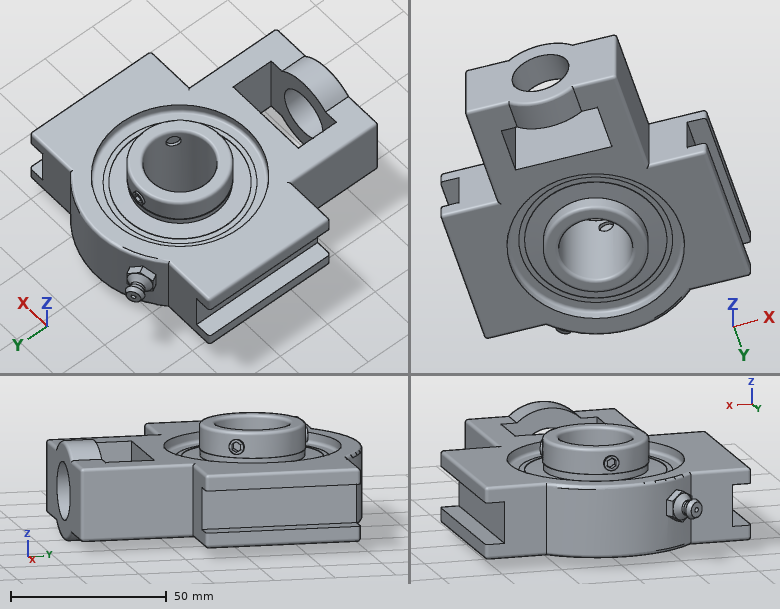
import cadquery as cq
import math


edge_radius = 1.1
housing_width = 89.0
housing_thickness = 24.0
plate_half_length = 25.5
rear_arc_radius = 35.2
tongue_width = 50.7
tongue_front_y = -62.2
boss_radius = 16.1
screw_hole_diameter = 19.0
window_width = 32.2
window_back_y = -36.1
window_front_y = -52.1
groove_depth = 6.3
groove_height = 13.8
recess_diameter = 56.9

outer_ring_width = 16.9
outer_ring_face_diameter = 49.4
seal_diameter = 45.7
seal_thickness = 1.5
seal_step = 0.2
seal_rise = 0.2
inner_ring_diameter = 33.7
collar_diameter = 34.2
collar_base_z = 11.2
inner_ring_top_z = 19.7
inner_ring_bottom_z = -14.4
shaft_bore_diameter = 23.8

set_screw_diameter = 4.9
set_screw_z = 14.9
set_screw_inner_radius = 12.8
set_screw_outer_radius = 17.7
set_screw_socket_flats = 3.0
set_screw_socket_depth = 2.0
set_screw_angles = (90, -30)

nipple_angle = 120
nipple_z = 3.0
thread_diameter = 6.0
thread_start = 30.5
hex_flats = 9.0
hex_base = 35.5
hex_top = 38.2
cone_diameter = 8.8
cone_top_diameter = 5.9
cone_top = 39.7
neck_diameter = 4.9
neck_base = 40.3
neck_top = 41.1
head_diameter = 6.6
head_widest = 42.8
tip_diameter = 5.1
tip_end = 44.5
grease_hole_diameter = 1.5
grease_hole_depth = 3.1


def block(width, y_start, y_end, height):
    """Box centred on X = 0 and Z = 0, running along Y from y_start to y_end."""
    return cq.Workplane("XY").box(width, y_end - y_start, height).translate((0, (y_start + y_end) / 2, 0))


def rod(plane, diameter, start, end):
    """Cylinder along the plane's normal between two distances from the plane."""
    return cq.Workplane(plane).workplane(offset=start).circle(diameter / 2).extrude(end - start)


def hexagon(plane, flats, start, end):
    """Hexagonal prism along the plane's normal, with two corners pointing along Z."""
    across_corners = 2 * flats / math.sqrt(3)
    return (
        cq.Workplane(plane)
        .workplane(offset=start)
        .transformed(rotate=(0, 0, 90))
        .polygon(6, across_corners)
        .extrude(end - start)
    )


def radial_plane(angle, z):
    """Plane through the bearing axis at height z, its normal pointing outward at the given angle."""
    direction = math.radians(angle)
    tangent = (-math.sin(direction), math.cos(direction), 0)
    outward = (math.cos(direction), math.sin(direction), 0)
    return cq.Plane(origin=(0, 0, z), xDir=tangent, normal=outward)


def revolved(points):
    """Solid of revolution about the bearing axis from a closed (radius, z) outline."""
    return cq.Workplane("XZ").polyline(points).close().revolve(360, (0, 0, 0), (0, 1, 0))


def make_housing():
    plate = block(housing_width, -plate_half_length, plate_half_length, housing_thickness)
    plate = plate.edges().fillet(edge_radius)
    tongue = block(tongue_width, tongue_front_y, 0, housing_thickness)
    tongue = tongue.edges("|Y or <Y").fillet(edge_radius)
    rear = rod(cq.Plane.XY(), 2 * rear_arc_radius, -housing_thickness / 2, housing_thickness / 2)
    rear = rear.edges().fillet(edge_radius)
    front_plane = cq.Plane(origin=(0, tongue_front_y, 0), xDir=(1, 0, 0), normal=(0, 1, 0))
    boss_length = window_front_y - tongue_front_y
    boss = rod(front_plane, 2 * boss_radius, 0, boss_length).faces("<Y").edges().fillet(edge_radius)
    body = plate.union(tongue).union(rear).union(boss)

    groove_x = (housing_width - groove_depth) / 2
    for x in (-groove_x, groove_x):
        groove = cq.Workplane("XY").box(groove_depth, 2 * plate_half_length, groove_height)
        body = body.cut(groove.translate((x, 0, 0)))

    window = block(window_width, window_front_y, window_back_y, 2 * boss_radius)
    screw_hole = rod(front_plane, screw_hole_diameter, 0, boss_length)
    nipple_hole = rod(radial_plane(nipple_angle, nipple_z), thread_diameter, thread_start, hex_base)
    body = body.cut(window).cut(screw_hole).cut(nipple_hole)

    body = body.cut(outer_ring_ball())
    recess_depth = (housing_thickness - outer_ring_width) / 2
    top_face = cq.Plane.XY(origin=(0, 0, housing_thickness / 2))
    recess = rod(top_face, recess_diameter, -recess_depth, 0).faces("<Z").edges().fillet(edge_radius)
    return body.cut(recess).cut(recess.mirror("XY"))


def outer_ring_ball():
    """Full ball whose middle slice is the self-aligning outer ring."""
    radius = math.hypot(outer_ring_width / 2, outer_ring_face_diameter / 2)
    return cq.Workplane("XY").sphere(radius)


def make_outer_ring():
    half_width = outer_ring_width / 2
    slice_body = rod(cq.Plane.XY(), recess_diameter, -half_width, half_width)
    seal_bore = rod(cq.Plane.XY(), seal_diameter, -half_width, half_width)
    return outer_ring_ball().intersect(slice_body).cut(seal_bore)


def make_inner_ring():
    ring = rod(cq.Plane.XY(), inner_ring_diameter, inner_ring_bottom_z, collar_base_z)
    ring = ring.union(rod(cq.Plane.XY(), collar_diameter, collar_base_z, inner_ring_top_z))
    ring = ring.cut(rod(cq.Plane.XY(), shaft_bore_diameter, inner_ring_bottom_z, inner_ring_top_z))
    ring = ring.faces("<Z or >Z").edges().fillet(edge_radius)
    for angle in set_screw_angles:
        hole = rod(radial_plane(angle, set_screw_z), set_screw_diameter, 0, collar_diameter)
        ring = ring.cut(hole)
    return ring


def make_seal(side):
    """Seal on the upper (side = 1) or lower (side = -1) face, its outer face rising towards the inner ring."""
    face_z = outer_ring_width / 2 + seal_step
    back_z = face_z - seal_thickness
    outline = [
        (inner_ring_diameter / 2, side * back_z),
        (seal_diameter / 2, side * back_z),
        (seal_diameter / 2, side * face_z),
        (inner_ring_diameter / 2, side * (face_z + seal_rise)),
    ]
    return revolved(outline)


def make_set_screw(angle):
    plane = radial_plane(angle, set_screw_z)
    screw = rod(plane, set_screw_diameter, set_screw_inner_radius, set_screw_outer_radius)
    socket_floor = set_screw_outer_radius - set_screw_socket_depth
    return screw.cut(hexagon(plane, set_screw_socket_flats, socket_floor, set_screw_outer_radius))


def make_grease_nipple():
    plane = radial_plane(nipple_angle, nipple_z)
    nozzle_outline = [
        (0, hex_top),
        (cone_diameter / 2, hex_top),
        (cone_top_diameter / 2, cone_top),
        (neck_diameter / 2, neck_base),
        (neck_diameter / 2, neck_top),
        (head_diameter / 2, head_widest),
        (tip_diameter / 2, tip_end),
        (0, tip_end),
    ]
    axial_plane = cq.Plane(origin=plane.origin, xDir=(0, 0, 1), normal=plane.xDir)
    nozzle = cq.Workplane(axial_plane).polyline(nozzle_outline).close().revolve(360, (0, 0, 0), (0, 1, 0))
    nipple = rod(plane, thread_diameter, thread_start, hex_base)
    nipple = nipple.union(hexagon(plane, hex_flats, hex_base, hex_top)).union(nozzle)
    return nipple.cut(rod(plane, grease_hole_diameter, tip_end - grease_hole_depth, tip_end))


housing = make_housing()
outer_ring = make_outer_ring()
inner_ring = make_inner_ring()
seals = [make_seal(side) for side in (1, -1)]
set_screws = [make_set_screw(angle) for angle in set_screw_angles]
grease_nipple = make_grease_nipple()

result = cq.Compound.makeCompound([
    housing.val(),
    outer_ring.val(),
    inner_ring.val(),
    *[seal.val() for seal in seals],
    *[screw.val() for screw in set_screws],
    grease_nipple.val(),
])